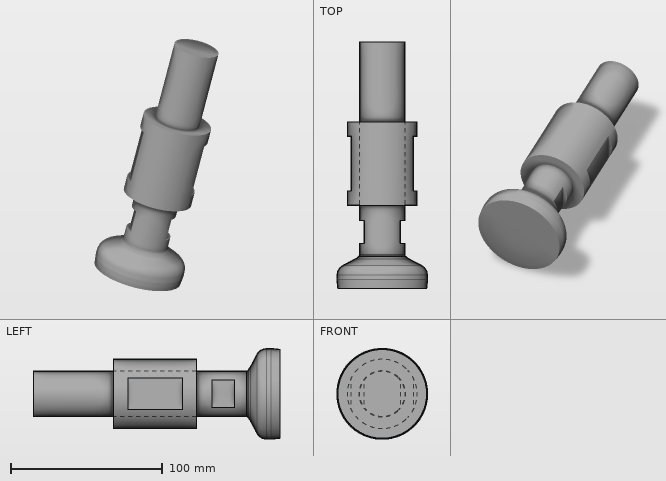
import cadquery as cq
import math

total_length = 163.0
front_y = -total_length / 2
back_y = total_length / 2

rod_radius = 15.0
head_radius = 30.0
face_radius = 29.3
rim_y = front_y + 6.0
shoulder_y = front_y + 9.0
shoulder_radius = 29.8
shoulder_round = 7.2
neck_y = front_y + 19.7
neck_radius = 17.6
flare_y = front_y + 21.4
flare_radius = 15.3
collar_y = front_y + 22.2
flank_angle = math.radians(62)

rod_flat_width = 24.0
rod_flat_length = 15.0
rod_flat_start_y = front_y + 30.0

sleeve_radius = 23.0
sleeve_length = 55.1
sleeve_start_y = front_y + 55.1
sleeve_flat_width = 41.0
sleeve_flat_length = 36.0
sleeve_flat_start_y = sleeve_start_y + (sleeve_length - sleeve_flat_length) / 2


def cylinder(radius, start_y, end_y):
    """Solid cylinder along Y between two stations."""
    return (
        cq.Workplane("XZ", origin=(0, start_y, 0))
        .circle(radius)
        .extrude(-(end_y - start_y))
    )


def cut_flats(body, body_radius, flat_width, start_y, length):
    """Cut two parallel flats, flat_width apart, on the -X and +X sides."""
    cutter_offset = flat_width / 2 + body_radius / 2
    for side in (-1, 1):
        cutter = cq.Workplane("XY").box(body_radius, length, 2 * body_radius)
        body = body.cut(cutter.translate((side * cutter_offset, start_y + length / 2, 0)))
    return body


def make_plunger():
    """Mushroom head and rod turned in one piece, with flats on the rod."""
    def shoulder_point(angle):
        return (
            shoulder_radius - shoulder_round * (1 - math.cos(angle)),
            shoulder_y + shoulder_round * math.sin(angle),
        )

    plunger = (
        cq.Workplane("XY")
        .moveTo(0, front_y)
        .lineTo(face_radius, front_y)
        .lineTo(head_radius, rim_y)
        .lineTo(shoulder_radius, shoulder_y)
        .threePointArc(shoulder_point(flank_angle / 2), shoulder_point(flank_angle))
        .lineTo(neck_radius, neck_y)
        .lineTo(flare_radius, flare_y)
        .lineTo(rod_radius, collar_y)
        .lineTo(rod_radius, back_y)
        .lineTo(0, back_y)
        .close()
        .revolve(360, (0, 0, 0), (0, 1, 0))
    )
    return cut_flats(plunger, rod_radius, rod_flat_width, rod_flat_start_y, rod_flat_length)


def make_sleeve():
    """Sleeve bored to fit the rod, with a pair of flats on its outside."""
    sleeve_end_y = sleeve_start_y + sleeve_length
    sleeve = cylinder(sleeve_radius, sleeve_start_y, sleeve_end_y)
    sleeve = sleeve.cut(cylinder(rod_radius, sleeve_start_y, sleeve_end_y))
    return cut_flats(
        sleeve, sleeve_radius, sleeve_flat_width, sleeve_flat_start_y, sleeve_flat_length
    )


plunger = make_plunger()
sleeve = make_sleeve()
result = cq.Compound.makeCompound([plunger.val(), sleeve.val()])